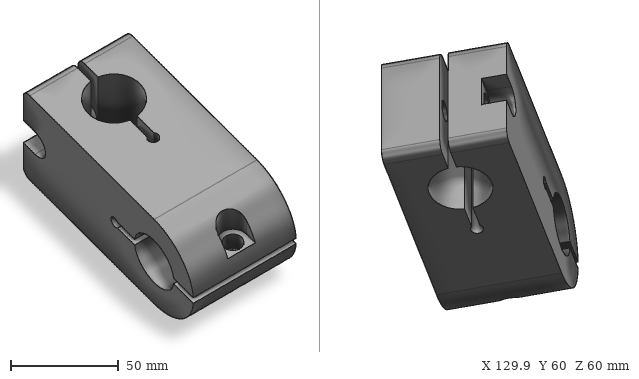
import cadquery as cq
import math

length = 129.9
width = 60.0
corner_radius = 5.0
bore_diameter = 30.0
slit_width = 4.0
relief_diameter = 6.0
relief_distance = 30.0
screw_diameter = 10.0
seat_width = 16.0
screw_inset_left = 9.0
screw_inset_right = 9.0
seat_depth_left = 12.0
seat_height_right = 12.0

half_width = width / 2
nose_radius = half_width
nose_center_x = length - math.sqrt(nose_radius**2 - (slit_width / 2) ** 2)
vertical_bore_x = half_width


def body():
    """Block with a half-round nose at +X and rounded edges at -X."""
    nose_tip_x = nose_center_x + nose_radius
    block = (
        cq.Workplane("XZ")
        .moveTo(0, -half_width)
        .lineTo(nose_center_x, -half_width)
        .threePointArc((nose_tip_x, 0), (nose_center_x, half_width))
        .lineTo(0, half_width)
        .close()
        .extrude(half_width, both=True)
    )
    return block.edges("|Y and <X").fillet(corner_radius)


def through_cylinder(plane, x, diameter):
    """Cylinder at (x, 0) of the plane, passing through the whole part."""
    return cq.Workplane(plane).center(x, 0).circle(diameter / 2).extrude(width, both=True)


def clamp_cut(plane, bore_x, direction):
    """Rod bore with a slit that opens outward and ends in a round relief; direction points inward."""
    relief_x = bore_x + direction * relief_distance
    slit_length = length
    slit = (
        cq.Workplane(plane)
        .center(relief_x - direction * slit_length / 2, 0)
        .rect(slit_length, slit_width)
        .extrude(width, both=True)
    )
    bore = through_cylinder(plane, bore_x, bore_diameter)
    relief = through_cylinder(plane, relief_x, relief_diameter)
    return bore.union(slit).union(relief)


def screw_cut(plane, screw_x, direction, floor):
    """Through hole and round-ended head pocket above the floor, open at the end; direction points outward."""
    seat = cq.Workplane(plane).workplane(offset=floor)
    round_end = seat.center(screw_x, 0).circle(seat_width / 2).extrude(width)
    open_end = (
        seat.center(screw_x + direction * seat_width / 2, 0)
        .rect(seat_width, seat_width)
        .extrude(width)
    )
    hole = through_cylinder(plane, screw_x, screw_diameter)
    return hole.union(round_end).union(open_end)


result = (
    body()
    .cut(clamp_cut("XZ", nose_center_x, -1))
    .cut(clamp_cut("XY", vertical_bore_x, 1))
    .cut(screw_cut("XZ", screw_inset_left, -1, half_width - seat_depth_left))
    .cut(screw_cut("XY", length - screw_inset_right, 1, seat_height_right))
)